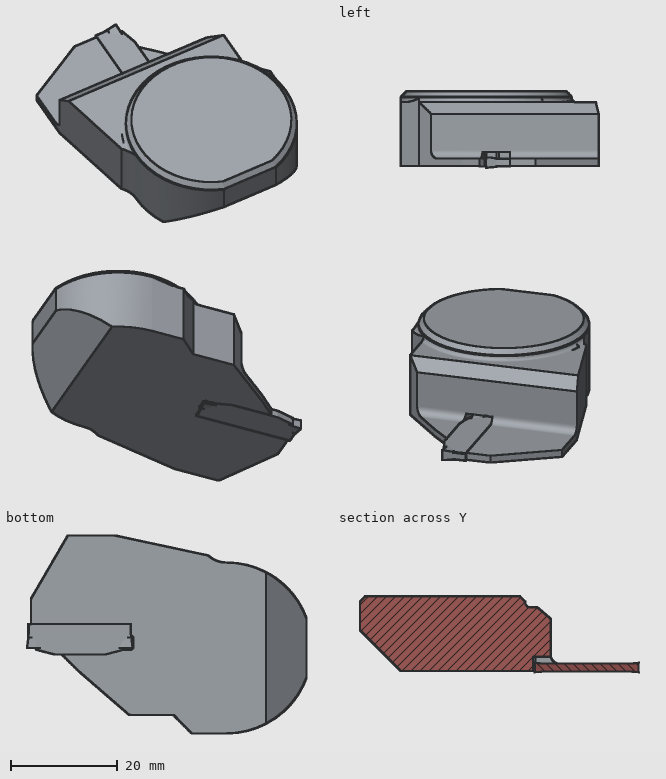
import cadquery as cq

OVERALL_LENGTH = 52.35
REACH_BELOW = 5.25

HEAD_RADIUS = 16.0
HEAD_TOP = 14.05
RIM_RADIUS = 15.95
HEAD_CHAMFER = 1.0
FLAT_X = 15.0
FLARE_RADIUS = 0.85
UNDERCUT = 7.65

BLOCK_TOP = 12.0
BLOCK_FRONT_X = -20.75
BEVEL_LENGTH = 2.55
BEVEL_DROP = 2.2
BLOCK_BACK_Y = 12.55
BACK_STEP_X = -9.9
SIDE_CORNER = (-3.4, -17.35)
BLEND_RADIUS = 4.8

PLATE_TOP = 1.4
PLATE_FRONT_X = -36.6
PLATE_SIDE_Y = -21.05
PLATE_SIDE_X = -29.7
PLATE_FRONT_Y = -9.15
PLATE_BEND = (-27.55, 4.45)
ROOT_FILLET = 1.5

INSERT_TIP_X = FLAT_X - OVERALL_LENGTH
INSERT_CENTRE_X = -27.45
INSERT_HALF_LENGTH = INSERT_CENTRE_X - INSERT_TIP_X
INSERT_MID_Z = 0.7
SHANK_HALF_THICKNESS = 0.8
SHANK_BOTTOM_Y = -4.45
SHANK_TOP_Y = 1.25
SHANK_TOP_HALF_LENGTH = 4.65
SHANK_END_CHAMFER = 0.15
RAKE_Y = 0.05
NOTCH_TOP_Y = 0.35
NOTCH_LENGTH = 1.6
NOTCH_SLOPE = 0.2
TIP_HALF_WIDTH = 1.0
TIP_BACK_HALF_WIDTH = 0.9
TIP_RELIEF_HEIGHT = 2.0
TIP_RELIEF = 0.25
TIP_NARROWING = 0.17
TIP_LIP = 0.65

POCKET_ROOF = 2.65
CLEARANCE_DEPTH = 0.4
CLEARANCE_LOW_Y = -2.35


def head():
    """Round head down to z = 0, with a flat on its +X side and a chamfer around its top."""
    rim_bottom = BLOCK_TOP + FLARE_RADIUS
    drum = cq.Workplane("XY").circle(HEAD_RADIUS).extrude(rim_bottom)
    rim = cq.Workplane("XY").circle(RIM_RADIUS).extrude(HEAD_TOP).faces(">Z").chamfer(HEAD_CHAMFER)
    flat_profile = (
        cq.Workplane("XZ")
        .moveTo(-HEAD_RADIUS, 0)
        .lineTo(FLAT_X, 0)
        .lineTo(FLAT_X, HEAD_TOP - HEAD_CHAMFER)
        .lineTo(FLAT_X - HEAD_CHAMFER, HEAD_TOP)
        .lineTo(-HEAD_RADIUS, HEAD_TOP)
        .close()
        .extrude(HEAD_RADIUS, both=True)
    )
    return drum.union(rim).intersect(flat_profile)


def block_footprint(height):
    """Prism of the block's outline, ending on the head's centre plane."""
    back_step_end_x = BACK_STEP_X + HEAD_RADIUS - BLOCK_BACK_Y
    return (
        cq.Workplane("XY")
        .moveTo(0, HEAD_RADIUS)
        .lineTo(back_step_end_x, HEAD_RADIUS)
        .lineTo(BACK_STEP_X, BLOCK_BACK_Y)
        .lineTo(BLOCK_FRONT_X + BEVEL_LENGTH, BLOCK_BACK_Y)
        .lineTo(*PLATE_BEND)
        .lineTo(PLATE_FRONT_X, SHANK_BOTTOM_Y)
        .lineTo(PLATE_FRONT_X, PLATE_FRONT_Y)
        .lineTo(PLATE_SIDE_X, PLATE_SIDE_Y)
        .lineTo(BLOCK_FRONT_X, PLATE_SIDE_Y)
        .lineTo(*SIDE_CORNER)
        .radiusArc((0, -HEAD_RADIUS), BLEND_RADIUS)
        .close()
        .extrude(height)
    )


def block_and_plate():
    """Block and blade plate: the footprint prism trimmed to the side profile."""
    profile = (
        cq.Workplane("XZ")
        .moveTo(PLATE_FRONT_X, 0)
        .lineTo(PLATE_FRONT_X, PLATE_TOP)
        .lineTo(BLOCK_FRONT_X - ROOT_FILLET, PLATE_TOP)
        .radiusArc((BLOCK_FRONT_X, PLATE_TOP + ROOT_FILLET), -ROOT_FILLET)
        .lineTo(BLOCK_FRONT_X, BLOCK_TOP - BEVEL_DROP)
        .lineTo(BLOCK_FRONT_X + BEVEL_LENGTH, BLOCK_TOP)
        .lineTo(0, BLOCK_TOP)
        .lineTo(0, 0)
        .close()
        .extrude(2 * HEAD_RADIUS, both=True)
    )
    return block_footprint(BLOCK_TOP).intersect(profile)


def flare():
    """Concave ring joining the head to the block's top, kept inside the block's outline."""
    ring = (
        cq.Workplane("XZ")
        .moveTo(0, BLOCK_TOP - FLARE_RADIUS)
        .lineTo(HEAD_RADIUS + FLARE_RADIUS, BLOCK_TOP - FLARE_RADIUS)
        .lineTo(HEAD_RADIUS + FLARE_RADIUS, BLOCK_TOP)
        .radiusArc((HEAD_RADIUS, BLOCK_TOP + FLARE_RADIUS), FLARE_RADIUS)
        .lineTo(0, BLOCK_TOP + FLARE_RADIUS)
        .close()
        .revolve(360, (0, 0, 0), (0, 1, 0))
    )
    return ring.intersect(block_footprint(HEAD_TOP))


def undercut():
    """Wedge removed below the head's flat at 45 degrees."""
    return (
        cq.Workplane("XZ")
        .moveTo(FLAT_X - UNDERCUT - REACH_BELOW, -REACH_BELOW)
        .lineTo(FLAT_X + REACH_BELOW, -REACH_BELOW)
        .lineTo(FLAT_X + REACH_BELOW, UNDERCUT + REACH_BELOW)
        .close()
        .extrude(2 * HEAD_RADIUS, both=True)
    )


def insert_prism(bottom, top):
    """Prism of the insert's outline, the same at both ends."""
    right_end = [
        (INSERT_HALF_LENGTH - TIP_RELIEF, SHANK_BOTTOM_Y),
        (INSERT_HALF_LENGTH - TIP_RELIEF, RAKE_Y - TIP_RELIEF_HEIGHT),
        (INSERT_HALF_LENGTH, RAKE_Y),
        (INSERT_HALF_LENGTH - NOTCH_LENGTH, RAKE_Y),
        (INSERT_HALF_LENGTH - NOTCH_LENGTH - NOTCH_SLOPE, NOTCH_TOP_Y),
        (SHANK_TOP_HALF_LENGTH, SHANK_TOP_Y),
    ]
    left_end = [(-x, y) for x, y in reversed(right_end)]
    return (
        cq.Workplane("XY", origin=(INSERT_CENTRE_X, 0, bottom))
        .polyline(right_end + left_end)
        .close()
        .extrude(top - bottom)
    )


def tip_section(y, front_x, narrowing):
    """Cross-section of the -X cutting tip at one y, narrowing away from the cutting edge."""
    notch_x = INSERT_TIP_X + NOTCH_LENGTH + NOTCH_SLOPE
    upper = [
        (front_x, TIP_HALF_WIDTH - narrowing),
        (notch_x, TIP_BACK_HALF_WIDTH - narrowing),
        (notch_x + TIP_LIP, SHANK_HALF_THICKNESS - narrowing),
    ]
    lower = [(x, -z) for x, z in reversed(upper)]
    points = [cq.Vector(x, y, INSERT_MID_Z + z) for x, z in upper + lower]
    return cq.Wire.makePolygon(points, close=True)


def cutting_tip():
    """The -X tip, wider than the shank at its cutting edge and relieved below it."""
    rake = tip_section(RAKE_Y, INSERT_TIP_X, 0)
    heel = tip_section(RAKE_Y - TIP_RELIEF_HEIGHT, INSERT_TIP_X + TIP_RELIEF, TIP_NARROWING)
    return cq.Workplane(obj=cq.Solid.makeLoft([rake, heel], True))


def inner_tip_clearance():
    """Recess at the pocket's inner end that keeps the second cutting tip and its notch free."""
    end_x = INSERT_CENTRE_X + INSERT_HALF_LENGTH - TIP_RELIEF
    deep_x = end_x + CLEARANCE_DEPTH
    outline = [
        (end_x - NOTCH_LENGTH, CLEARANCE_LOW_Y),
        (end_x, CLEARANCE_LOW_Y),
        (deep_x, CLEARANCE_LOW_Y + CLEARANCE_DEPTH),
        (deep_x, NOTCH_TOP_Y - CLEARANCE_DEPTH),
        (end_x, NOTCH_TOP_Y),
        (end_x - NOTCH_LENGTH, NOTCH_TOP_Y),
    ]
    height = POCKET_ROOF + REACH_BELOW
    return cq.Workplane("XY", origin=(0, 0, -REACH_BELOW)).polyline(outline).close().extrude(height)


def make_insert():
    """Double-ended insert: a shank with a mirrored pair of cutting tips."""
    shank = insert_prism(INSERT_MID_Z - SHANK_HALF_THICKNESS, INSERT_MID_Z + SHANK_HALF_THICKNESS)
    shank = shank.edges("|Y").chamfer(SHANK_END_CHAMFER)
    tip = cutting_tip()
    opposite_tip = tip.mirror("YZ", (INSERT_CENTRE_X, 0, 0))
    return shank.union(tip).union(opposite_tip)


def make_holder():
    """Holder with its undercut head and the pocket for the insert."""
    body = block_and_plate().union(head()).union(flare())
    pocket = insert_prism(-REACH_BELOW, POCKET_ROOF).union(inner_tip_clearance())
    return body.cut(undercut()).cut(pocket)


holder = make_holder()
insert = make_insert()

result = cq.Compound.makeCompound([holder.val(), insert.val()])